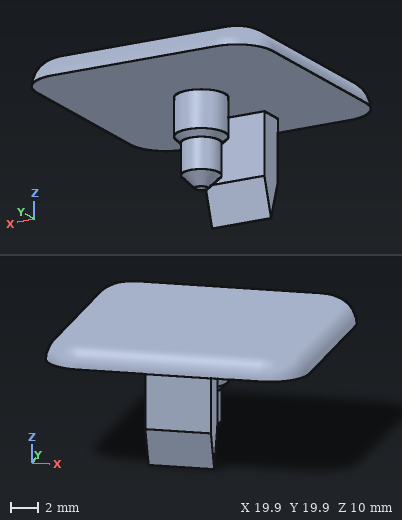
import cadquery as cq

cap_side = 19.9
cap_thickness = 2.0
corner_radius = 3.0

pin_diameter = 4.0
neck_diameter = 3.0
tip_diameter = 1.0
shoulder_depth = 3.0
neck_depth = 3.5
point_depth = 6.0
pin_length = 7.0

spike_width = 5.0
spike_thickness = 2.0
spike_center_y = -6.0
spike_straight = 5.0
spike_length = 8.0


def make_cap():
    """Rounded square whose whole edge is a quarter round, with a flat underside."""
    block = (
        cq.Workplane("XY")
        .rect(cap_side, cap_side)
        .extrude(2 * cap_thickness)
        .translate((0, 0, -cap_thickness))
        .edges("|Z")
        .fillet(corner_radius)
        .faces(">Z")
        .edges()
        .fillet(cap_thickness)
    )
    lower_half = cq.Workplane("XY").rect(cap_side, cap_side).extrude(-cap_thickness)
    return block.cut(lower_half)


def make_pin():
    """Pin with a tapered step to its neck and a blunt conical tip."""
    profile = [
        (0, 0),
        (pin_diameter / 2, 0),
        (pin_diameter / 2, -shoulder_depth),
        (neck_diameter / 2, -neck_depth),
        (neck_diameter / 2, -point_depth),
        (tip_diameter / 2, -pin_length),
        (0, -pin_length),
    ]
    return cq.Workplane("XZ").polyline(profile).close().revolve(360, (0, 0), (0, 1))


def make_spike():
    """Flat bar with a symmetric wedge point."""
    front_y = spike_center_y - spike_thickness / 2
    back_y = spike_center_y + spike_thickness / 2
    profile = [
        (front_y, 0),
        (back_y, 0),
        (back_y, -spike_straight),
        (spike_center_y, -spike_length),
        (front_y, -spike_straight),
    ]
    return cq.Workplane("YZ").polyline(profile).close().extrude(spike_width / 2, both=True)


result = make_cap().union(make_pin()).union(make_spike())